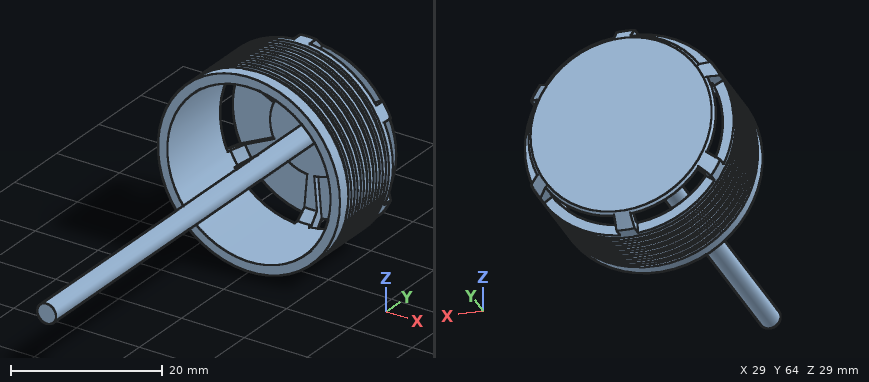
import cadquery as cq
import math

outer_diameter = 29.0
bore_diameter = 26.0
groove_diameter = 28.0
rod_diameter = 3.0
hub_diameter = 12.9
total_length = 64.0
cup_height = 16.0
sleeve_height = 12.55
rim_band = 2.0
grooved_length = 9.65
groove_count = 7
cover_thickness = 0.45
end_thickness = 1.35
outer_chamfer = 1.9
inner_chamfer = 1.5
spoke_count = 6
spoke_angle = 10.0
cut_clearance = 0.65

outer_radius = outer_diameter / 2
spoke_pitch = 360 / spoke_count
groove_width = grooved_length / (2 * groove_count - 1)


def disc(diameter, start, end):
    """Cylinder along Y between two Y positions."""
    return cq.Workplane("XZ", origin=(0, end, 0)).circle(diameter / 2).extrude(end - start)


def make_cup():
    """Closed cup with a chamfered end, inside and outside."""
    body = disc(outer_diameter, 0, cup_height).faces(">Y").chamfer(outer_chamfer)
    cavity = disc(bore_diameter, 0, cup_height - end_thickness).faces(">Y").chamfer(inner_chamfer)
    return body.cut(cavity)


def make_groove(start):
    """Ring that cuts one square groove into the outside of the sleeve."""
    end = start + groove_width
    return disc(outer_diameter + 2 * cut_clearance, start, end).cut(disc(groove_diameter, start, end))


def make_window():
    """Ring sector centred on +X that opens the cup between two spokes."""
    half_angle = math.radians((spoke_pitch - spoke_angle) / 2)
    hub_radius = hub_diameter / 2
    reach = outer_radius + cut_clearance
    window_top = cup_height - cover_thickness

    def polar(radius, angle):
        return radius * math.cos(angle), radius * math.sin(angle)

    return (
        cq.Workplane("XZ", origin=(0, window_top, 0))
        .moveTo(*polar(hub_radius, -half_angle))
        .lineTo(*polar(reach, -half_angle))
        .threePointArc((reach, 0), polar(reach, half_angle))
        .lineTo(*polar(hub_radius, half_angle))
        .threePointArc((hub_radius, 0), polar(hub_radius, -half_angle))
        .close()
        .extrude(window_top - sleeve_height)
    )


result = make_cup()

for index in range(groove_count):
    result = result.cut(make_groove(rim_band + 2 * groove_width * index))

window = make_window()
for index in range(spoke_count):
    result = result.cut(window.rotate((0, 0, 0), (0, 1, 0), spoke_pitch * index))

result = result.union(disc(rod_diameter, cup_height - total_length, cup_height))